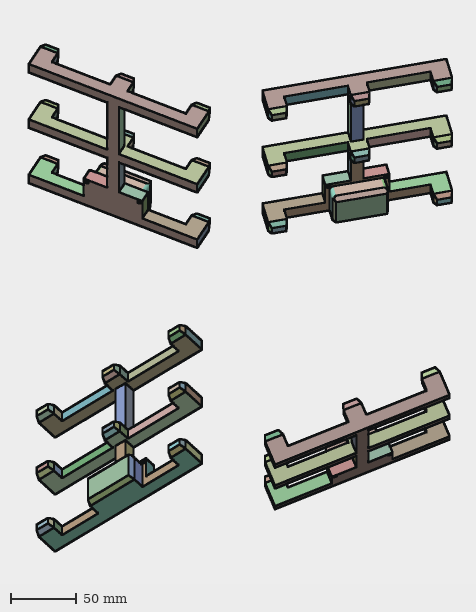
import cadquery as cq

width = 145.0
height = 140.0
bar = 10.0
depth = 25.0

peg_width = 15.0
taper_length = 5.1
taper_angle = 20.0

plate_width = 50.5
plate_height = 30.3

block_side_inset = 3.3
block_top_inset = 3.2
block_corner = 3.0

hole_diameter = 3.0
hole_inset = 2.6

straight_end = depth - taper_length
arm_levels = [bar / 2, height / 2, height - bar / 2]
peg_offset = (width - peg_width) / 2


def frame_bar(size_x, size_z, z_bottom):
    """Bar of frame thickness, centred on X, with its front face at Y = 0."""
    return cq.Workplane("XY").box(size_x, bar, size_z, (True, False, False)).translate((0, 0, z_bottom))


def tapered_post(size_x, size_z, x, z):
    """Post along +Y from the frame front, straight at first and tapered on all four sides at its tip."""
    straight = cq.Workplane("XY").rect(size_x, size_z).extrude(straight_end)
    tip = (
        cq.Workplane("XY")
        .workplane(offset=straight_end)
        .rect(size_x, size_z)
        .extrude(taper_length, taper=taper_angle)
    )
    return straight.union(tip).rotate((0, 0, 0), (1, 0, 0), -90).translate((x, 0, z))


result = frame_bar(bar, height, 0)
for level in arm_levels:
    result = result.union(frame_bar(width, bar, level - bar / 2))
result = result.union(frame_bar(plate_width, plate_height, 0))

for level in arm_levels:
    for x in (-peg_offset, peg_offset):
        result = result.union(tapered_post(peg_width, bar, x, level))
for level in arm_levels[1:]:
    result = result.union(tapered_post(peg_width, bar, 0, level))

block_width = plate_width - 2 * block_side_inset
block_height = plate_height - block_top_inset
block = tapered_post(block_width, block_height, 0, block_height / 2)
envelope = (
    cq.Workplane("XY")
    .box(block_width, depth, block_height, (True, False, False))
    .edges("|Y and >Z")
    .fillet(block_corner)
)
result = result.union(block.intersect(envelope))

hole_offset = plate_width / 2 - hole_inset
hole_level = plate_height - hole_inset
for x in (-hole_offset, hole_offset):
    hole = cq.Workplane("XZ").center(x, hole_level).circle(hole_diameter / 2).extrude(-bar)
    result = result.cut(hole)